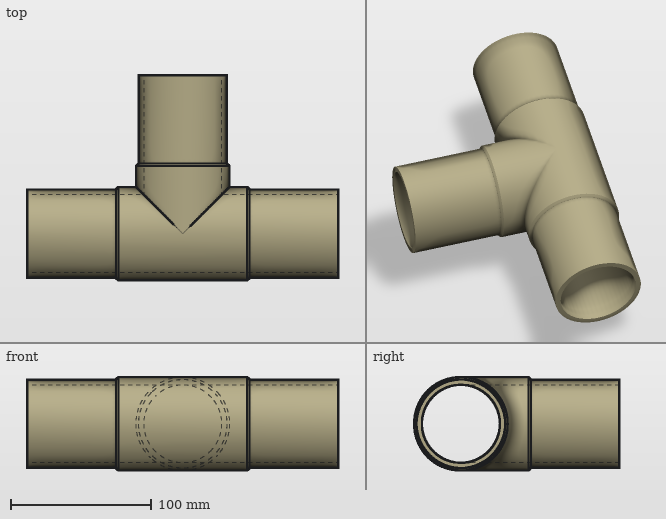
import cadquery as cq

run_length = 222.0
branch_reach = 113.0
pipe_diameter = 63.0
bore_diameter = 55.5
collar_diameter = 66.8
run_collar_length = 95.5
branch_collar_reach = 50.0
collar_chamfer = 1.8

run_plane = cq.Plane.YZ()
branch_plane = cq.Plane(origin=(0, 0, 0), xDir=(1, 0, 0), normal=(0, 1, 0))


def run_cylinder(diameter, length):
    """Cylinder along X, centred on the tee."""
    return cq.Workplane(run_plane).circle(diameter / 2).extrude(length / 2, both=True)


def branch_cylinder(diameter, reach):
    """Cylinder from the run axis out along +Y."""
    return cq.Workplane(branch_plane).circle(diameter / 2).extrude(reach)


run_collar = run_cylinder(collar_diameter, run_collar_length).faces("<X or >X").chamfer(collar_chamfer)
branch_collar = branch_cylinder(collar_diameter, branch_collar_reach).faces(">Y").chamfer(collar_chamfer)
collar = run_collar.union(branch_collar)

run_pipe = run_cylinder(pipe_diameter, run_length)
branch_pipe = branch_cylinder(pipe_diameter, branch_reach)

run_bore = run_cylinder(bore_diameter, run_length)
branch_bore = branch_cylinder(bore_diameter, branch_reach)

result = collar.union(run_pipe).union(branch_pipe).cut(run_bore).cut(branch_bore)